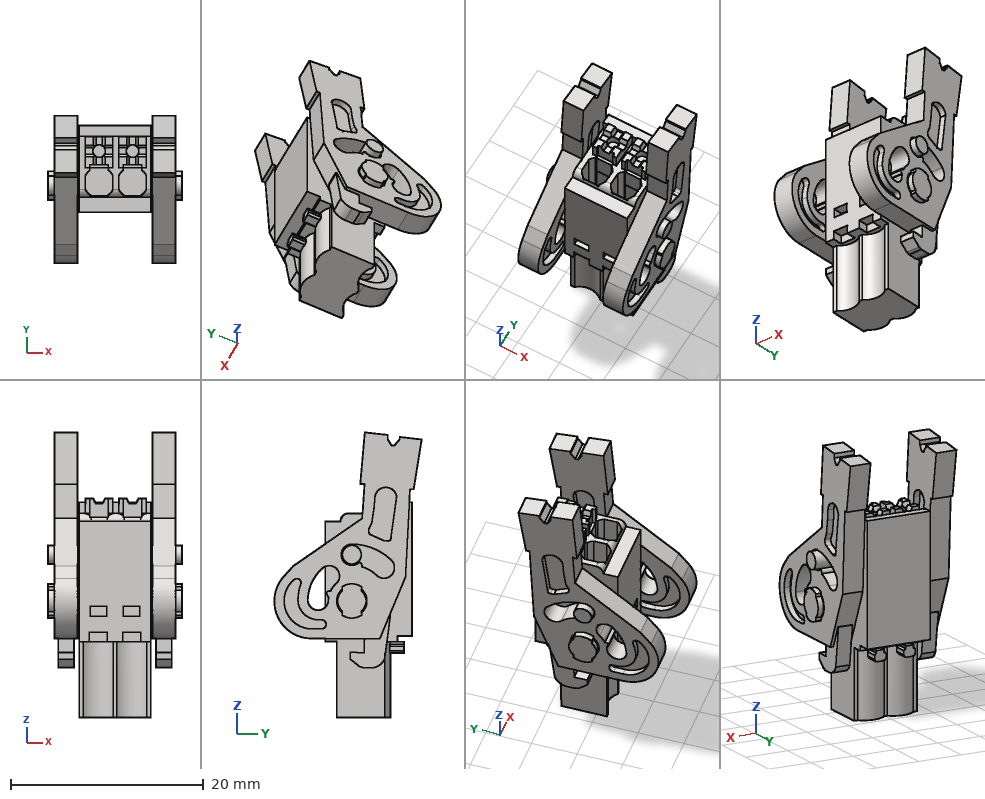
import cadquery as cq
import math


pole_pitch = 3.45
pole_xs = (-pole_pitch / 2, pole_pitch / 2)
terminal_shift = 0.1

housing_half_width = 3.73
housing_front = -2.78
housing_back = 6.25
housing_bottom = 7.9
back_wall_bottom = 8.45
back_step_y = 4.73
front_ledge_top = 20.35
front_ledge_back = -1.18
deck_top = 21.2
deck_round = deck_top - front_ledge_top
back_wall_top = 22.35
back_wall_front = 5.12

skirt_front = -1.57
skirt_back = 3.4
scallop_half_width = 1.55
scallop_depth = 0.62

lug_neck_half = 0.47
lug_half = 0.68
lug_heights = (6.7, 6.95, 7.43, 7.63)
lug_tip_y = 5.41

window_depth = housing_front - skirt_front
upper_window_size = (1.72, 1.05)
upper_window_bottom = 10.5
lower_window_size = (1.83, 0.95)

entry_y = 0.33
entry_radius = 1.6
entry_half_width = 1.42
entry_front = -1.05
entry_bottom = 13.32
channel_width = 1.92
channel_floor = 20.8

actuator_width = 2.85
actuator_front = 1.83
actuator_back = 5.05
actuator_bottom = 18.35
actuator_top = 22.73
relief_depth = 0.35
cross_y = 3.58
cross_depth = 0.55
cross_top_width = 1.2
cross_floor_width = 0.65
probe_radius = 0.65
probe_depth = 1.48

pivot_z = 12.1
shaft_radius = 1.45
head_radius = 1.5
head_lug_radius = 1.78
head_lug_width = 2.0
guide_radius = 4.8
guide_pin_radius = 0.98
pin_tip_x = 6.95

lever_inner_x = 3.88
lever_thickness = 2.4
lever_outer_x = lever_inner_x + lever_thickness
lever_mid_x = lever_inner_x + lever_thickness / 2
hook_thickness = 1.65
pivot_hole_radius = 1.57
round_center = (-4.17, 12.07)
round_radius = 3.88
round_start_angle = 142.0
guide_slot_half_width = 1.1
guide_slot_angles = (46.0, 90.0)
guide_bump = (80.0, 0.4)
spring_slot_radius = 3.5
spring_slot_half_width = 1.07
spring_slot_angles = (132.0, 178.0)
spring_bump = (163.0, 0.33)
pocket_depth = 0.7


def box(x_range, y_range, z_range):
    """Solid block between the given limits."""
    sizes = [end - start for start, end in (x_range, y_range, z_range)]
    corner = (x_range[0], y_range[0], z_range[0])
    return cq.Workplane("XY").box(*sizes, centered=False).translate(corner)


def side_plate(x_middle, thickness):
    """YZ workplane from which a symmetric extrusion fills the given thickness."""
    return cq.Workplane("YZ", origin=(x_middle - thickness / 2, 0, 0))


def polar(radius, angle, center=(0, pivot_z)):
    """Point in the YZ plane at an angle (degrees from +Y) about a center."""
    turn = math.radians(angle)
    return (center[0] + radius * math.cos(turn), center[1] + radius * math.sin(turn))


def housing_block():
    """Upper housing, extruded across its width from the side profile."""
    return (
        side_plate(0, 2 * housing_half_width)
        .moveTo(housing_front, housing_bottom)
        .lineTo(back_step_y, housing_bottom)
        .lineTo(back_step_y, back_wall_bottom)
        .lineTo(housing_back, back_wall_bottom)
        .lineTo(housing_back, back_wall_top)
        .lineTo(back_wall_front, back_wall_top)
        .lineTo(back_wall_front, deck_top)
        .lineTo(front_ledge_back + deck_round, deck_top)
        .radiusArc((front_ledge_back, front_ledge_top), -deck_round)
        .lineTo(housing_front, front_ledge_top)
        .close()
        .extrude(2 * housing_half_width)
    )


def skirt():
    """Plug skirt: concave scallops in front, matching convex ones behind."""
    left, right = pole_xs
    half = scallop_half_width
    front_valley = skirt_front + scallop_depth
    back_crest = skirt_back + scallop_depth
    return (
        cq.Workplane("XY")
        .moveTo(-housing_half_width, skirt_front)
        .lineTo(left - half, skirt_front)
        .threePointArc((left, front_valley), (left + half, skirt_front))
        .lineTo(right - half, skirt_front)
        .threePointArc((right, front_valley), (right + half, skirt_front))
        .lineTo(housing_half_width, skirt_front)
        .lineTo(housing_half_width, skirt_back)
        .lineTo(right + half, skirt_back)
        .threePointArc((right, back_crest), (right - half, skirt_back))
        .lineTo(left + half, skirt_back)
        .threePointArc((left, back_crest), (left - half, skirt_back))
        .lineTo(-housing_half_width, skirt_back)
        .close()
        .extrude(housing_bottom)
    )


def coding_lug(x):
    """Lug hanging on a neck behind the skirt, chamfered above and below."""
    bottom, lower_edge, upper_edge, neck = lug_heights
    half_outline = [
        (lug_neck_half, bottom),
        (lug_half, lower_edge),
        (lug_half, upper_edge),
        (lug_neck_half, neck),
        (lug_neck_half, housing_bottom),
    ]
    mirrored = [(-px, pz) for px, pz in reversed(half_outline)]
    return (
        cq.Workplane("XZ", origin=(x, lug_tip_y, 0))
        .polyline(half_outline + mirrored)
        .close()
        .extrude(lug_tip_y - skirt_back)
    )


def window(x, size, bottom):
    """Rectangular window cut into the front face."""
    width, height = size
    depth_range = (housing_front, housing_front - window_depth)
    return box((x - width / 2, x + width / 2), depth_range, (bottom, bottom + height))


def wire_entry(x):
    """Flattened round wire funnel, slotted at the back, with a shallow channel across it."""
    height = deck_top - entry_bottom
    funnel = (
        cq.Workplane("XY", origin=(x, entry_y, entry_bottom)).circle(entry_radius).extrude(height)
    )
    limits = box(
        (x - entry_half_width, x + entry_half_width),
        (entry_front, actuator_front),
        (entry_bottom, deck_top),
    )
    channel = box(
        (x - channel_width / 2, x + channel_width / 2),
        (front_ledge_back, actuator_front),
        (channel_floor, deck_top),
    )
    back_slot = box(
        (x - channel_width / 2, x + channel_width / 2),
        (entry_y, actuator_front),
        (entry_bottom, deck_top),
    )
    return funnel.intersect(limits).union(channel).union(back_slot)


def actuator_block(x):
    """Plain block of one actuator, also used for its recess in the housing."""
    return box(
        (x - actuator_width / 2, x + actuator_width / 2),
        (actuator_front, actuator_back),
        (actuator_bottom, actuator_top),
    )


def pivot_pin():
    """Pivot across the housing with a bayonet head outside each lever."""
    shaft = side_plate(0, 2 * pin_tip_x).center(0, pivot_z).circle(shaft_radius)
    pin = shaft.extrude(2 * pin_tip_x)
    head_length = pin_tip_x - lever_outer_x
    for side in (-1, 1):
        head_middle = side * (lever_outer_x + head_length / 2)
        head_plane = side_plate(head_middle, head_length).center(0, pivot_z)
        lug_bar = head_plane.rect(head_lug_width, 2 * head_lug_radius).extrude(head_length)
        lugs = head_plane.circle(head_lug_radius).extrude(head_length).intersect(lug_bar)
        pin = pin.union(head_plane.circle(head_radius).extrude(head_length)).union(lugs)
    return pin


def guide_pin():
    """Round pin that runs in the guide slots of both levers."""
    plane = side_plate(0, 2 * pin_tip_x).center(0, pivot_z + guide_radius)
    return plane.circle(guide_pin_radius).extrude(2 * pin_tip_x)


def make_housing():
    body = housing_block().union(skirt())
    for x in pole_xs:
        body = body.union(coding_lug(x))
    body = body.union(pivot_pin()).union(guide_pin())
    for x in pole_xs:
        body = body.cut(window(x, upper_window_size, upper_window_bottom))
        body = body.cut(window(x, lower_window_size, housing_bottom))
        body = body.cut(wire_entry(x + terminal_shift))
        body = body.cut(actuator_block(x + terminal_shift))
    return body


def cross_groove(length):
    """Groove with sloped walls, along Y, centered on the origin at the actuator top."""
    top_half = cross_top_width / 2
    floor_half = cross_floor_width / 2
    return (
        cq.Workplane("XZ", origin=(0, length / 2, 0))
        .moveTo(-top_half, 0)
        .lineTo(-floor_half, -cross_depth)
        .lineTo(floor_half, -cross_depth)
        .lineTo(top_half, 0)
        .close()
        .extrude(length)
    )


def make_actuator(x):
    """Actuator with a front relief, a cross of grooves and a probe hole."""
    body = actuator_block(x)
    relief = box(
        (x - channel_width / 2, x + channel_width / 2),
        (actuator_front, actuator_front + relief_depth),
        (channel_floor, actuator_top),
    )
    groove = cross_groove(2 * actuator_width)
    cross = groove.union(groove.rotate((0, 0, 0), (0, 0, 1), 90))
    probe_hole = cq.Workplane("XY").circle(probe_radius).extrude(-probe_depth)
    cross = cross.union(probe_hole).translate((x, cross_y, actuator_top))
    return body.cut(relief).cut(cross)


def lever_plate():
    """Lever outline: notched grip, slim neck and rounded nose."""
    nose_start = polar(round_radius, round_start_angle, round_center)
    nose_tip = polar(round_radius, 180, round_center)
    nose_end = polar(round_radius, 270, round_center)
    return (
        side_plate(lever_mid_x, lever_thickness)
        .moveTo(2.9, nose_end[1])
        .lineTo(5.55, 14.6)
        .lineTo(6.05, 23.67)
        .lineTo(6.42, 23.67)
        .lineTo(7.25, 28.85)
        .lineTo(4.95, 29.12)
        .lineTo(4.95, 28.85)
        .lineTo(4.4, 28.23)
        .lineTo(4.1, 28.23)
        .lineTo(3.73, 28.85)
        .lineTo(3.73, 29.32)
        .lineTo(1.33, 29.6)
        .lineTo(0.85, 24.2)
        .lineTo(1.3, 24.2)
        .lineTo(1.07, 20.65)
        .lineTo(-6.07, 15.75)
        .lineTo(*nose_start)
        .threePointArc(nose_tip, nose_end)
        .close()
        .extrude(lever_thickness)
    )


def latch_hook():
    """Thinner latch hook below the lever, centered in its thickness."""
    return (
        side_plate(lever_mid_x, hook_thickness)
        .moveTo(4.0, 10.6)
        .lineTo(3.4, 6.13)
        .threePointArc((2.9, 5.47), (2.13, 5.18))
        .lineTo(1.15, 5.18)
        .lineTo(0.77, 5.33)
        .lineTo(-0.15, 6.07)
        .lineTo(-0.15, 6.78)
        .lineTo(1.27, 6.75)
        .lineTo(1.4, 10.6)
        .close()
        .extrude(hook_thickness)
    )


def snap_slot(radius, half_width, angles, bump):
    """Arc slot about the pivot; a bump on its inner wall closes in on the round end seat."""
    start, end = angles
    middle = (start + end) / 2
    inner = radius - half_width
    outer = radius + half_width
    cap_overrun = math.degrees(half_width / radius)
    start_cap = polar(radius, start - cap_overrun)
    end_cap = polar(radius, end + cap_overrun)
    plane = side_plate(lever_mid_x, lever_thickness)
    band = (
        plane.moveTo(*polar(inner, start))
        .threePointArc(polar(inner, middle), polar(inner, end))
        .threePointArc(end_cap, polar(outer, end))
        .threePointArc(polar(outer, middle), polar(outer, start))
        .threePointArc(start_cap, polar(inner, start))
        .close()
        .extrude(lever_thickness)
    )
    bump_angle, bump_radius = bump
    bump_post = plane.center(*polar(inner, bump_angle)).circle(bump_radius).extrude(lever_thickness)
    seat = plane.center(*polar(radius, end)).circle(half_width).extrude(lever_thickness)
    return band.cut(bump_post).union(seat)


def grip_pocket(plane):
    """Elongated pocket in the lever neck."""
    return (
        plane.moveTo(4.65, 22.93)
        .threePointArc((3.52, 23.88), (2.4, 22.93))
        .lineTo(2.3, 21.78)
        .lineTo(2.07, 20.2)
        .lineTo(1.78, 19.6)
        .threePointArc((1.75, 19.25), (1.95, 18.97))
        .lineTo(3.35, 18.35)
        .lineTo(3.75, 18.32)
        .threePointArc((3.97, 18.4), (4.05, 18.7))
        .close()
        .extrude(pocket_depth)
    )


def nose_pocket(plane):
    """Crescent pocket that follows the rounded nose of the lever."""
    return (
        plane.moveTo(-5.27, 13.95)
        .threePointArc((-5.5, 13.08), (-5.6, 12.2))
        .threePointArc((-4.95, 10.75), (-3.43, 10.15))
        .lineTo(-3.15, 10.15)
        .threePointArc((-2.65, 9.68), (-3.15, 9.2))
        .lineTo(-4.15, 9.2)
        .threePointArc((-6.18, 10.05), (-7.0, 12.1))
        .threePointArc((-6.75, 13.35), (-5.98, 14.32))
        .threePointArc((-5.5, 14.38), (-5.27, 13.95))
        .close()
        .extrude(pocket_depth)
    )


def make_lever():
    """Lever on the +X side; its pockets are repeated on both faces."""
    body = lever_plate().union(latch_hook())
    body = body.cut(
        snap_slot(guide_radius, guide_slot_half_width, guide_slot_angles, guide_bump)
    )
    body = body.cut(
        snap_slot(spring_slot_radius, spring_slot_half_width, spring_slot_angles, spring_bump)
    )
    pivot_plane = side_plate(lever_mid_x, lever_thickness).center(0, pivot_z)
    body = body.cut(pivot_plane.circle(pivot_hole_radius).extrude(lever_thickness))
    for face_x in (lever_inner_x, lever_outer_x - pocket_depth):
        plane = cq.Workplane("YZ", origin=(face_x, 0, 0))
        body = body.cut(grip_pocket(plane)).cut(nose_pocket(plane))
    return body


housing = make_housing()
actuators = [make_actuator(x + terminal_shift) for x in pole_xs]
right_lever = make_lever()
levers = [right_lever, right_lever.mirror("YZ")]

result = cq.Compound.makeCompound([housing.val(), *[body.val() for body in actuators + levers]])